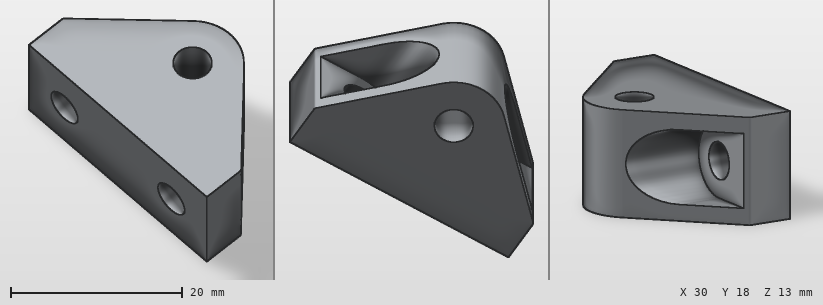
import cadquery as cq
import math

length = 30.0
thickness = 13.0

nose_radius = 6.0
pivot_y = 12.0
hole_diameter = 4.5
shoulder_radius = 0.45

mount_spacing = 18.0
pocket_width = 9.0
pocket_floor_y = 6.0

half_length = length / 2
depth = pivot_y + nose_radius
tangent_offset = nose_radius * math.sqrt(0.5)
tangent_y = pivot_y + tangent_offset
shoulder_y = tangent_y + tangent_offset - half_length


def make_body():
    """Triangular plate with a tangent round nose and softened shoulders."""
    body = (
        cq.Workplane("XY")
        .moveTo(-half_length, 0)
        .lineTo(half_length, 0)
        .lineTo(half_length, shoulder_y)
        .lineTo(tangent_offset, tangent_y)
        .threePointArc((0, depth), (-tangent_offset, tangent_y))
        .lineTo(-half_length, shoulder_y)
        .close()
        .extrude(thickness / 2, both=True)
    )
    for side in (-1, 1):
        shoulder = cq.selectors.NearestToPointSelector((side * half_length, shoulder_y, 0))
        body = body.edges(shoulder).fillet(shoulder_radius)
    return body


def make_pivot_hole():
    return cq.Workplane("XY").circle(hole_diameter / 2).extrude(thickness, both=True).translate((0, pivot_y, 0))


def make_mount_cut(side):
    """Through hole along Y, plus a pocket round on the inside and open at the flank."""
    mount_x = side * mount_spacing / 2
    hole = cq.Workplane("XZ").center(mount_x, 0).circle(hole_diameter / 2).extrude(-depth)
    floor = cq.Workplane("XZ", origin=(0, pocket_floor_y, 0))
    pocket_height = depth - pocket_floor_y
    round_end = floor.center(mount_x, 0).circle(pocket_width / 2).extrude(-pocket_height)
    open_run = half_length - mount_spacing / 2
    open_end = (
        floor.center(mount_x + side * open_run / 2, 0)
        .rect(open_run, pocket_width)
        .extrude(-pocket_height)
    )
    return hole.union(round_end).union(open_end)


result = make_body().cut(make_pivot_hole())
for side in (-1, 1):
    result = result.cut(make_mount_cut(side))